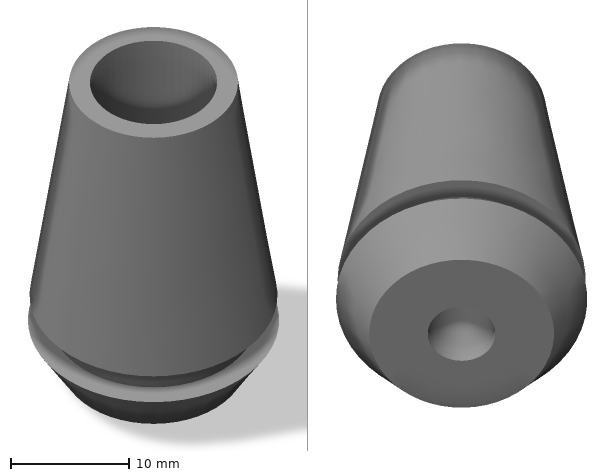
import cadquery as cq
import math

height = 31.5
flange_diameter = 21.3

flange_height = 4.88
flange_angle = 30.0
groove_diameter = 17.45
groove_width = 2.77
taper_diameter = 21.0
taper_angle = 8.0

bore_diameter = 10.77
bore_floor = 7.65
hole_diameter = 5.73


def collet_body():
    """Revolve the outer profile: flared flange, groove and long taper."""
    flange_radius = flange_diameter / 2
    groove_radius = groove_diameter / 2
    taper_radius = taper_diameter / 2
    taper_start = flange_height + groove_width
    taper_height = height - taper_start
    base_radius = flange_radius - flange_height * math.tan(math.radians(flange_angle))
    top_radius = taper_radius - taper_height * math.tan(math.radians(taper_angle))
    profile = [
        (0, 0),
        (base_radius, 0),
        (flange_radius, flange_height),
        (groove_radius, flange_height),
        (groove_radius, taper_start),
        (taper_radius, taper_start),
        (top_radius, height),
        (0, height),
    ]
    return cq.Workplane("XZ").polyline(profile).close().revolve(360, (0, 0), (0, 1))


def stepped_bore():
    """Build the volume removed by the wide bore and the through hole."""
    hole = cq.Workplane("XY").circle(hole_diameter / 2).extrude(height)
    bore = (
        cq.Workplane("XY")
        .workplane(offset=bore_floor)
        .circle(bore_diameter / 2)
        .extrude(height - bore_floor)
    )
    return hole.union(bore)


result = collet_body().cut(stepped_bore())